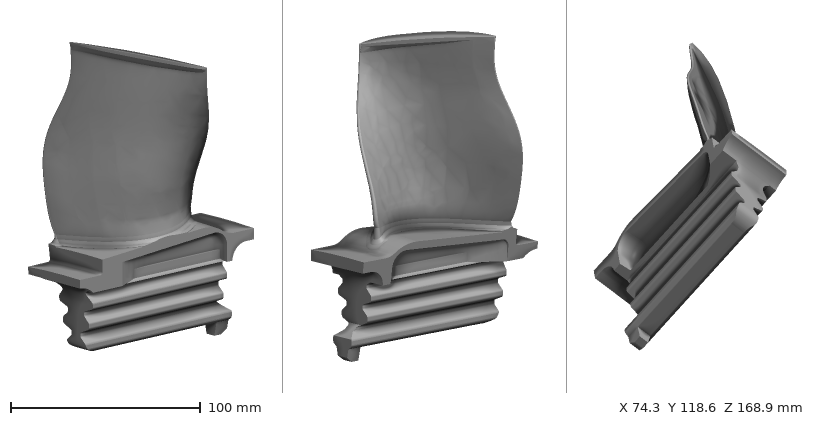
import cadquery as cq
import math

ROOT_X = 1.45
SKEW = 0.0895
AXIS_Z = -390.0
REVOLVE_HALF_ANGLE = 8.0
BIG = 200.0

FRONT_Y = -59.28
BACK_Y = 59.28
STEP_Y = -44.0
FRONT_LIP_TOP = 52.8
STEP_RADIUS = 1.6
PLATFORM_FRONT_TOP = 61.2
CREST_Y = 24.1
CREST_TOP = 65.9
PLATFORM_SLOPE = (CREST_TOP - PLATFORM_FRONT_TOP) / (CREST_Y - STEP_Y)
PLATFORM_MIDDLE_TOP = CREST_TOP - PLATFORM_SLOPE * CREST_Y
HUMP_Y = 38.4
HUMP_Z = 61.75
BACK_LIP_Y = 45.0
BACK_LIP_TOP = 59.6
PLATFORM_BOTTOM = 44.0
FRONT_LIP_BOTTOM = 47.9
BACK_LIP_BOTTOM = 53.0
BACK_FLARE = 9.3
OUTLINE_TOP = 80.0
LEFT_X = -22.33
LEFT_REF_Z = 60.0
LEFT_DRAFT = 0.153
RIGHT_X = 17.9

ROOT_FRONT_Y = -47.0
ROOT_BACK_Y = 44.5
TAIL_Y = 52.65
ROOT_BOTTOM = 7.55
SHANK_TOP = 50.0
FIR_TREE = [
    (11.8, SHANK_TOP, 0),
    (11.8, 43.9, 1.2),
    (9.0, 42.2, 1.2),
    (9.0, 40.2, 1.2),
    (12.55, 36.6, 1.4),
    (12.55, 33.4, 1.5),
    (6.05, 30.9, 1.2),
    (6.05, 28.4, 1.2),
    (9.75, 25.0, 1.4),
    (9.75, 21.7, 1.8),
    (3.25, 18.8, 1.2),
    (3.25, 16.4, 1.2),
    (7.0, 13.0, 1.4),
    (7.0, 9.5, 1.6),
    (4.4, ROOT_BOTTOM, 0.6),
]
HOOK_TOP_HALF = 4.5
HOOK_BOTTOM_HALF = 2.9

SHANK_HALF = 10.5
POCKET_DEPTH = 30.0
POCKET_FRONT_Y = -38.8
POCKET_BACK_Y = 40.0
POCKET_FRONT_TOP = 56.6
POCKET_BACK_TOP = 62.2
POCKET_BACK_RADIUS = 8.5
POCKET_FRONT_RADIUS = 4.5
POCKET_FLOOR_RADIUS = 4.0
POCKET_BEND_Y = -8.0
POCKET_BEND_RISE = 11.0

LEADING_THICKNESS = 1.3
EDGE_ROUNDING = 0.35
SIDE_STEPS = 7
SECTIONS = [
    (56.0, (-22.5, -40.0), (-3.4, 36.0), 22.0, 1.2, 12.0, 3.0),
    (71.0, (-26.8, -39.8), (-1.6, 34.8), 23.0, 1.2, 12.0, 2.8),
    (88.0, (-33.0, -39.6), (3.5, 33.2), 24.0, 1.3, 10.5, 2.4),
    (104.0, (-36.2, -38.0), (12.5, 30.2), 21.5, 1.45, 9.0, 2.0),
    (120.0, (-35.3, -35.0), (22.2, 25.3), 16.0, 1.5, 7.0, 1.7),
    (136.0, (-29.6, -31.0), (30.4, 17.6), 9.5, 1.5, 5.0, 1.5),
    (152.0, (-25.7, -27.8), (35.5, 11.6), 4.5, 1.5, 4.0, 1.3),
    (172.0, (-25.6, -27.6), (36.3, 9.2), 3.0, 1.5, 3.0, 1.2),
]
FIRST_FREE_SECTION = 2

FILLET_RADIUS = 4.5
FILLET_STEPS = 3
FILLET_ROOT_DEPTH = 8.0

TIP_FRONT_TOP = 174.1
TIP_MIDDLE_TOP = 163.6
TIP_BACK_TOP = 146.1
TIP_SLOPE = -0.237
CAP_DEPTH = 2.3
CAP_EMBED = 0.3
CAP_BLEND_DEPTH = 5.6
CAP_CONCAVE_SIDE = [(-26.4, -26.6), (35.2, 10.6)]
CAP_CONVEX_SIDE = [(36.94, 9.5), (34.5, 3.8), (23.0, -6.6), (8.0, -16.2), (-8.8, -24.4), (-26.4, -28.4)]


def rounded_outline(corners):
    """Closed wire on XZ through (x, z, radius) corners, each rounded by its radius."""
    segments = []
    count = len(corners)
    for i in range(count):
        x, z, radius = corners[i]
        corner = cq.Vector(x, z)
        if radius == 0:
            segments.append((corner, None, corner))
            continue
        before = (cq.Vector(*corners[i - 1][:2]) - corner).normalized()
        after = (cq.Vector(*corners[(i + 1) % count][:2]) - corner).normalized()
        half = before.getAngle(after) / 2
        setback = radius / math.tan(half)
        bisector = (before + after).normalized()
        middle = corner + bisector * (radius / math.sin(half) - radius)
        segments.append((corner + before * setback, middle, corner + after * setback))
    wire = cq.Workplane("XZ").moveTo(*segments[0][2].toTuple()[:2])
    for start, middle, end in segments[1:] + segments[:1]:
        wire = wire.lineTo(*start.toTuple()[:2])
        if middle is not None:
            wire = wire.threePointArc(middle.toTuple()[:2], end.toTuple()[:2])
    return wire.close()


def revolved_sector(profile):
    """Sweep a closed YZ profile about the rotor axis, symmetric about the root's middle."""
    swept = profile.revolve(2 * REVOLVE_HALF_ANGLE, (0, AXIS_Z, 0), (1, AXIS_Z, 0))
    axis_start = (ROOT_X, 0, AXIS_Z)
    axis_end = (ROOT_X, 1, AXIS_Z)
    swept = swept.translate((ROOT_X, 0, 0))
    low, high = [swept.rotate(axis_start, axis_end, sign * REVOLVE_HALF_ANGLE) for sign in (-1, 1)]
    return min(low, high, key=lambda body: abs(body.val().Center().x - ROOT_X))


def along_x(profile):
    """Extrude a YZ profile through the whole part."""
    return profile.extrude(BIG / 2, both=True)


def skewed_prism(profile):
    """Extrude an XZ profile along the skewed root direction."""
    start = profile.val() if isinstance(profile.val(), cq.Wire) else profile.wire().val()
    path = cq.Vector(-SKEW * BIG, -BIG, 0)
    shift = cq.Vector(ROOT_X + SKEW * BIG / 2, BIG / 2, 0)
    return cq.Workplane(cq.Solid.extrudeLinear(start.moved(cq.Location(shift)), [], path))


def platform_slab():
    """Platform crown: top surface of revolution, flat bottom beside the shank."""
    sector_bottom = PLATFORM_BOTTOM - 10
    profile = (
        cq.Workplane("YZ")
        .moveTo(FRONT_Y, sector_bottom)
        .lineTo(FRONT_Y, FRONT_LIP_TOP)
        .lineTo(STEP_Y - STEP_RADIUS, FRONT_LIP_TOP)
        .tangentArcPoint((STEP_Y, FRONT_LIP_TOP + STEP_RADIUS), relative=False)
        .lineTo(STEP_Y, PLATFORM_FRONT_TOP)
        .lineTo(CREST_Y, CREST_TOP)
        .tangentArcPoint((HUMP_Y, HUMP_Z), relative=False)
        .tangentArcPoint((BACK_LIP_Y, BACK_LIP_TOP), relative=False)
        .lineTo(BACK_Y, BACK_LIP_TOP)
        .lineTo(BACK_Y, sector_bottom)
        .close()
    )
    lower = along_x(cq.Workplane("YZ").rect(BIG, 2 * PLATFORM_BOTTOM))
    return revolved_sector(profile).cut(lower)


def side_outline():
    """Room for platform and root, bounded by the lips, end faces, tail and hook."""
    front_flare = ROOT_FRONT_Y - FRONT_Y
    return along_x(
        cq.Workplane("YZ")
        .moveTo(FRONT_Y, OUTLINE_TOP)
        .lineTo(FRONT_Y, FRONT_LIP_BOTTOM)
        .radiusArc((ROOT_FRONT_Y, FRONT_LIP_BOTTOM - front_flare), front_flare)
        .lineTo(ROOT_FRONT_Y, 14.4)
        .threePointArc((-46.3, 11.5), (-44.6, 9.6))
        .tangentArcPoint((-37.0, ROOT_BOTTOM), relative=False)
        .lineTo(ROOT_BACK_Y, ROOT_BOTTOM)
        .lineTo(ROOT_BACK_Y, 0)
        .lineTo(49.1, 0)
        .lineTo(TAIL_Y, 2.9)
        .lineTo(TAIL_Y, 13.3)
        .lineTo(ROOT_BACK_Y, 19.5)
        .lineTo(ROOT_BACK_Y, BACK_LIP_BOTTOM - BACK_FLARE)
        .radiusArc((ROOT_BACK_Y + BACK_FLARE, BACK_LIP_BOTTOM), BACK_FLARE)
        .lineTo(BACK_Y, BACK_LIP_BOTTOM)
        .lineTo(BACK_Y, OUTLINE_TOP)
        .close()
    )


def platform_plan():
    """Skewed prism between the leaning left side and the upright right side."""
    left = LEFT_X - ROOT_X
    right = RIGHT_X - ROOT_X
    return skewed_prism(
        cq.Workplane("XZ").polyline(
            [
                (left + LEFT_DRAFT * LEFT_REF_Z, 0),
                (left - LEFT_DRAFT * (OUTLINE_TOP - LEFT_REF_Z), OUTLINE_TOP),
                (right, OUTLINE_TOP),
                (right, 0),
            ]
        ).close()
    )


def fir_tree_root():
    """Three-lobed root with the hook below its back end, before the ends are trimmed."""
    left_half = [(-x, z, radius) for x, z, radius in reversed(FIR_TREE)]
    tree = skewed_prism(rounded_outline(FIR_TREE + left_half))
    hook = skewed_prism(
        cq.Workplane("XZ").polyline(
            [
                (-HOOK_TOP_HALF, ROOT_BOTTOM),
                (HOOK_TOP_HALF, ROOT_BOTTOM),
                (HOOK_BOTTOM_HALF, 0),
                (-HOOK_BOTTOM_HALF, 0),
            ]
        ).close()
    )
    return tree.union(hook)


def side_pocket(side):
    """Cutter hollowing the platform beside the shank; side is -1 (left) or 1 (right)."""
    cutter = (
        cq.Workplane("YZ")
        .polyline(
            [
                (POCKET_FRONT_Y, PLATFORM_BOTTOM),
                (POCKET_FRONT_Y, POCKET_FRONT_TOP),
                (POCKET_BACK_Y, POCKET_BACK_TOP),
                (POCKET_BACK_Y, PLATFORM_BOTTOM),
            ]
        )
        .close()
        .extrude(side * POCKET_DEPTH)
    )
    cutter = cutter.edges("|X and >Y and >Z").fillet(POCKET_BACK_RADIUS)
    cutter = cutter.edges("|X and <Y").edges(">Z").fillet(POCKET_FRONT_RADIUS)
    floor = "<X" if side > 0 else ">X"
    cutter = cutter.faces(floor).edges().fillet(POCKET_FLOOR_RADIUS)
    bent_floor = (
        cq.Workplane("XY")
        .moveTo(0, BACK_Y)
        .lineTo(0, POCKET_BEND_Y)
        .tangentArcPoint((side * POCKET_BEND_RISE, POCKET_FRONT_Y), relative=False)
        .lineTo(side * POCKET_DEPTH, FRONT_Y)
        .lineTo(side * POCKET_DEPTH, BACK_Y)
        .close()
        .extrude(BIG)
    )
    cutter = cutter.intersect(bent_floor)
    cutter = cutter.rotate((0, 0, 0), (0, 0, 1), -math.degrees(math.atan(SKEW)))
    return cutter.translate((ROOT_X + side * SHANK_HALF, side * SKEW * RIGHT_X, 0))


def interpolate(first, second, share):
    """Blend two section values, numbers or (x, y) pairs alike."""
    if isinstance(first, tuple):
        return tuple(interpolate(a, b, share) for a, b in zip(first, second))
    return first + (second - first) * share


def section_at(height):
    """Airfoil section values at any height, linear between the listed sections."""
    last = len(SECTIONS) - 1
    upper = next(i for i in range(1, last + 1) if height <= SECTIONS[i][0] or i == last)
    below, above = SECTIONS[upper - 1], SECTIONS[upper]
    share = (height - below[0]) / (above[0] - below[0])
    return [interpolate(a, b, share) for a, b in zip(below[1:], above[1:])]


def airfoil_wire(height, slope=0.0, growth=0.0, drop=lambda y: 0):
    """Airfoil section: a bowed camber line thickened to both sides, with rounded edges.

    The section lies at the given height at Y = 0, rises with Y by slope and is
    grown outward all round by growth; drop(y) lowers it locally.
    """
    leading, trailing, camber, shift, thickness, trailing_thickness = section_at(height)
    leading = section_at(height + slope * leading[1])[0]
    trailing = section_at(height + slope * trailing[1])[1]
    start = cq.Vector(*leading)
    chord = cq.Vector(*trailing) - start
    across = cq.Vector(chord.y, -chord.x).normalized()

    def lifted(point):
        return cq.Vector(point.x, point.y, height + slope * point.y - drop(point.y))

    def side(sign):
        points = []
        for i in range(SIDE_STEPS + 1):
            s = i / SIDE_STEPS
            shifted = s**shift
            bow = 4 * camber * shifted * (1 - shifted)
            bow_rate = 4 * camber * shift * s ** (shift - 1) * (1 - 2 * shifted)
            tangent = (chord + across * bow_rate).normalized()
            normal = cq.Vector(tangent.y, -tangent.x)
            edge = interpolate(LEADING_THICKNESS, trailing_thickness, s)
            half = (edge + (thickness - edge) * 4 * s * (1 - s)) / 2 + growth
            points.append(lifted(start + chord * s + across * bow + normal * (sign * half)))
        return points, tangent

    outer, end_tangent = side(1)
    inner, _ = side(-1)
    nose = lifted(start - chord.normalized() * (EDGE_ROUNDING * LEADING_THICKNESS + growth))
    tail = lifted(start + chord + end_tangent * (EDGE_ROUNDING * trailing_thickness + growth))
    return cq.Wire.assembleEdges(
        [
            cq.Edge.makeSpline(outer),
            cq.Edge.makeThreePointArc(outer[-1], tail, inner[-1]),
            cq.Edge.makeSpline(inner[::-1]),
            cq.Edge.makeThreePointArc(inner[0], nose, outer[0]),
        ]
    )


def fillet_top_wire():
    """Section where the base fillet ends and the free airfoil begins."""
    return airfoil_wire(PLATFORM_MIDDLE_TOP + FILLET_RADIUS, PLATFORM_SLOPE)


def airfoil():
    """Airfoil from the base fillet to above the tip."""
    free_sections = [airfoil_wire(section[0]) for section in SECTIONS[FIRST_FREE_SECTION:]]
    return cq.Workplane(cq.Solid.makeLoft([fillet_top_wire(), *free_sections]))


def base_fillet():
    """Flared skirt that rounds the airfoil into the sloping, humped platform top."""
    hump_drop = CREST_TOP + PLATFORM_SLOPE * (HUMP_Y - CREST_Y) - HUMP_Z

    def platform_drop(y):
        return hump_drop * (max(0, y - CREST_Y) / (HUMP_Y - CREST_Y)) ** 2

    wires = [airfoil_wire(PLATFORM_MIDDLE_TOP - FILLET_ROOT_DEPTH, PLATFORM_SLOPE, FILLET_RADIUS)]
    for i in range(FILLET_STEPS):
        angle = math.pi / 2 * i / FILLET_STEPS
        height = PLATFORM_MIDDLE_TOP + FILLET_RADIUS * (1 - math.cos(angle))
        growth = FILLET_RADIUS * (1 - math.sin(angle))
        wires.append(airfoil_wire(height, PLATFORM_SLOPE, growth, platform_drop))
    wires.append(fillet_top_wire())
    behind_step = along_x(cq.Workplane("YZ").rect(-2 * STEP_Y, BIG))
    return cq.Workplane(cq.Solid.makeLoft(wires, True)).intersect(behind_step)


def below_tip():
    """Everything under the bowed tip surface."""
    return revolved_sector(
        cq.Workplane("YZ")
        .moveTo(FRONT_Y, PLATFORM_BOTTOM)
        .lineTo(FRONT_Y, TIP_FRONT_TOP)
        .threePointArc((0, TIP_MIDDLE_TOP), (BACK_Y, TIP_BACK_TOP))
        .lineTo(BACK_Y, PLATFORM_BOTTOM)
        .close()
    )


def tip_cap():
    """Plate closing the tip: straight on the concave side, bowed on the convex side."""

    def outline(depth):
        middle = TIP_MIDDLE_TOP - depth
        concave, convex = [
            [cq.Vector(x, y, middle + TIP_SLOPE * y) for x, y in points]
            for points in (CAP_CONCAVE_SIDE, CAP_CONVEX_SIDE)
        ]
        return cq.Wire.assembleEdges(
            [
                cq.Edge.makeSpline(convex[::-1]),
                cq.Edge.makeLine(convex[0], concave[1]),
                cq.Edge.makeLine(concave[1], concave[0]),
                cq.Edge.makeLine(concave[0], convex[-1]),
            ]
        )

    blend = airfoil_wire(TIP_MIDDLE_TOP - CAP_BLEND_DEPTH, TIP_SLOPE, -CAP_EMBED)
    return cq.Workplane(cq.Solid.makeLoft([blend, outline(CAP_DEPTH), outline(-CAP_DEPTH)], True))


plan = platform_plan()
outline = side_outline()
platform = platform_slab().intersect(outline).intersect(plan)
platform = platform.union(base_fillet().intersect(plan))
for pocket_side in (-1, 1):
    platform = platform.cut(side_pocket(pocket_side))

root = fir_tree_root().intersect(outline)
blade = airfoil().union(tip_cap()).intersect(below_tip())
blade = blade.cut(along_x(cq.Workplane("YZ").rect(BIG, 2 * 58.0)))

result = platform.union(root).union(blade)